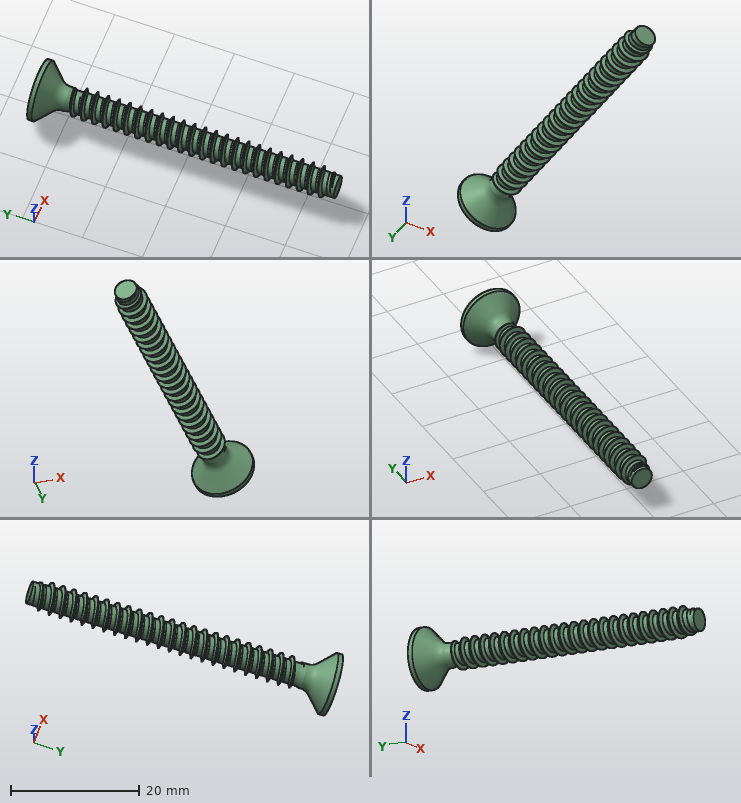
import cadquery as cq
import math


length = 50.0
head_radius = 5.0
rim_height = 0.8
cone_end = 3.2
cone_end_radius = head_radius - (cone_end - rim_height)
neck_radius = 2.0
neck_end = 5.0
core_radius = 1.8
core_start = 5.75

cone_angle = math.radians(45)
neck_fillet = (cone_end_radius - neck_radius) / (1 - math.cos(cone_angle))
fillet_end = cone_end + neck_fillet * math.sin(cone_angle)

pitch = 1.8
crest_radius = 2.5
crest_width = 0.1
root_width = 0.7
base_radius = core_radius - 0.15
hidden_radius = core_radius - 0.05
thread_start = 4.95
thread_start_angle = -90.0
thread_end = 49.55
run_in = 1.8
run_out = 2.15
points_per_section = 16

land_radius = core_radius + 0.05
land_offset = pitch - 0.65
tip_clearance = 0.05

flank_slope = (root_width - crest_width) / 2 / (crest_radius - core_radius)
base_offset = root_width / 2 + flank_slope * (core_radius - base_radius)


def screw_body():
    """Head, neck and plain core, turned about the Y axis."""
    fillet_middle = (
        neck_radius + neck_fillet * (1 - math.cos(cone_angle / 2)),
        -(fillet_end - neck_fillet * math.sin(cone_angle / 2)),
    )
    return (
        cq.Workplane("XY")
        .lineTo(head_radius, 0)
        .lineTo(head_radius, -rim_height)
        .lineTo(cone_end_radius, -cone_end)
        .threePointArc(fillet_middle, (neck_radius, -fillet_end))
        .lineTo(neck_radius, -neck_end)
        .lineTo(core_radius, -core_start)
        .lineTo(core_radius, -length)
        .lineTo(0, -length)
        .close()
        .revolve(360, (0, 0, 0), (0, 1, 0))
    )


def fading_radius(full_radius, depth):
    """Radius at a distance from the head face, sinking into the core at both thread ends."""
    rise = (depth - thread_start) / run_in
    fall = (thread_end - depth) / run_out
    return hidden_radius + (full_radius - hidden_radius) * min(1, rise, fall)


def thread_profile(depth):
    """Corners of the thread and its land as (axial offset towards the tip, radius)."""
    crest = fading_radius(crest_radius, depth)
    land = fading_radius(land_radius, depth)
    land_edge = min(land_offset, length - tip_clearance - depth)
    return [
        (-base_offset, base_radius),
        (-crest_width / 2, crest),
        (crest_width / 2, crest),
        (root_width / 2, land),
        (land_edge, land),
        (land_edge, base_radius),
    ]


def profile_points(depth):
    """Profile corners in space, turned to their place on the helix."""
    angle = math.radians(thread_start_angle) + 2 * math.pi * (depth - thread_start) / pitch
    return [
        cq.Vector(radius * math.cos(angle), -depth - offset, radius * math.sin(angle))
        for offset, radius in thread_profile(depth)
    ]


def section_faces(start, end):
    """Helical faces of the thread between two depths."""
    depths = [start + (end - start) * step / points_per_section for step in range(points_per_section + 1)]
    corner_tracks = zip(*[profile_points(depth) for depth in depths])
    edges = [cq.Edge.makeSpline(list(track)) for track in corner_tracks]
    return [cq.Face.makeRuledSurface(edge, edges[index - 1]) for index, edge in enumerate(edges)]


def end_face(depth):
    """Flat face that closes the thread at one end."""
    return cq.Face.makeFromWires(cq.Wire.makePolygon(profile_points(depth), close=True))


def thread():
    """Thread with its land, split into sections of at most one turn plus both fading ends."""
    full_start = thread_start + run_in
    full_length = thread_end - run_out - full_start
    turns = math.ceil(full_length / pitch)
    full_depths = [full_start + full_length * turn / turns for turn in range(turns + 1)]
    depths = [thread_start, *full_depths, thread_end]

    faces = [end_face(thread_start), end_face(thread_end)]
    for start, end in zip(depths, depths[1:]):
        faces += section_faces(start, end)
    return cq.Workplane(cq.Solid.makeSolid(cq.Shell.makeShell(faces)).fix())


result = screw_body().union(thread())